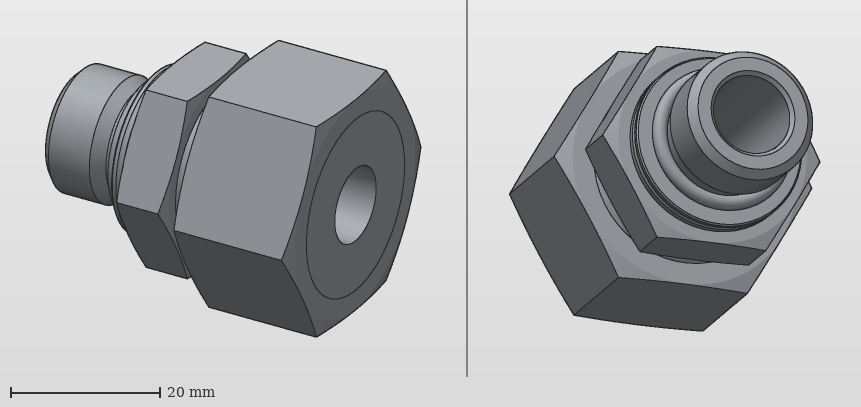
import cadquery as cq
import math

TOTAL_LENGTH = 43.5

BORE_RADIUS = 5.5
BORE_CHAMFER = 0.52
THREAD_RADIUS = 9.0
NECK_RADIUS = 7.87
TIP_CHAMFER = THREAD_RADIUS - NECK_RADIUS
THREAD_END = 7.5
NECK_START = 9.4

COLLAR_START = 12.5
COLLAR_RADIUS = 11.88
COLLAR_CHAMFER = 0.2
GROOVE_START = 13.25
GROOVE_WIDTH = 0.85
GROOVE_DEPTH = 0.17

RING_OUTER_RADIUS = 9.95
RING_SECTION_RADIUS = 1.0
RING_CENTRE_RADIUS = RING_OUTER_RADIUS - RING_SECTION_RADIUS
RING_CENTRE_X = COLLAR_START - RING_SECTION_RADIUS

HEX_START = 15.0
HEX_LENGTH = 7.53
HEX_FLATS = 27.0
HEX_END = HEX_START + HEX_LENGTH

NUT_LENGTH = 18.0
NUT_FLATS = 32.0
NUT_START = TOTAL_LENGTH - NUT_LENGTH
NUT_THREAD_RADIUS = 13.0
NUT_THREAD_CHAMFER_START = 25.1

HEX_CHAMFER_ANGLE = 15.0
HEX_HALF_ANGLE = 180 / 6


def revolve_about_x(profile):
    """Turn a closed (x, radius) profile in the XY plane about the X axis."""
    return profile.close().revolve(360, (0, 0, 0), (1, 0, 0))


def cylinder(start, length, radius):
    """Solid cylinder along X."""
    return cq.Workplane("YZ", origin=(start, 0, 0)).circle(radius).extrude(length)


def chamfered_hexagon(start, length, flats):
    """Hexagonal prism along X, corners on +/-Y, with conical chamfers at both ends."""
    flat_radius = flats / 2
    corner_radius = flat_radius / math.cos(math.radians(HEX_HALF_ANGLE))
    chamfer_depth = (corner_radius - flat_radius) * math.tan(math.radians(HEX_CHAMFER_ANGLE))
    end = start + length
    prism = cq.Workplane("YZ", origin=(start, 0, 0)).polygon(6, 2 * corner_radius).extrude(length)
    envelope = revolve_about_x(
        cq.Workplane("XY")
        .moveTo(start, 0)
        .lineTo(start, flat_radius)
        .lineTo(start + chamfer_depth, corner_radius)
        .lineTo(end - chamfer_depth, corner_radius)
        .lineTo(end, flat_radius)
        .lineTo(end, 0)
    )
    return prism.intersect(envelope)


def make_stud():
    """Stud with tapered undercut, neck and grooved sealing collar, ending in the hexagon."""
    return revolve_about_x(
        cq.Workplane("XY")
        .moveTo(0, 0)
        .lineTo(0, THREAD_RADIUS - TIP_CHAMFER)
        .lineTo(TIP_CHAMFER, THREAD_RADIUS)
        .lineTo(THREAD_END, THREAD_RADIUS)
        .lineTo(NECK_START, NECK_RADIUS)
        .lineTo(COLLAR_START, NECK_RADIUS)
        .lineTo(COLLAR_START, COLLAR_RADIUS - COLLAR_CHAMFER)
        .lineTo(COLLAR_START + COLLAR_CHAMFER, COLLAR_RADIUS)
        .lineTo(GROOVE_START, COLLAR_RADIUS)
        .threePointArc(
            (GROOVE_START + GROOVE_WIDTH / 2, COLLAR_RADIUS - GROOVE_DEPTH),
            (GROOVE_START + GROOVE_WIDTH, COLLAR_RADIUS),
        )
        .lineTo(HEX_END, COLLAR_RADIUS)
        .lineTo(HEX_END, 0)
    )


def make_nut_end():
    """Relief behind the hexagon, a 45 degree rise and the threaded end inside the nut."""
    rise = NUT_THREAD_RADIUS - COLLAR_RADIUS
    return revolve_about_x(
        cq.Workplane("XY")
        .moveTo(HEX_START, 0)
        .lineTo(HEX_START, COLLAR_RADIUS)
        .lineTo(NUT_THREAD_CHAMFER_START, COLLAR_RADIUS)
        .lineTo(NUT_THREAD_CHAMFER_START + rise, NUT_THREAD_RADIUS)
        .lineTo(TOTAL_LENGTH, NUT_THREAD_RADIUS)
        .lineTo(TOTAL_LENGTH, 0)
    )


def make_bore():
    """Through bore with a chamfered mouth at the stud end."""
    return revolve_about_x(
        cq.Workplane("XY")
        .moveTo(0, 0)
        .lineTo(0, BORE_RADIUS + BORE_CHAMFER)
        .lineTo(BORE_CHAMFER, BORE_RADIUS)
        .lineTo(TOTAL_LENGTH, BORE_RADIUS)
        .lineTo(TOTAL_LENGTH, 0)
    )


def make_fitting_body():
    """Stud, hexagon and threaded end in one piece, bored through."""
    hexagon = chamfered_hexagon(HEX_START, HEX_LENGTH, HEX_FLATS)
    return make_stud().union(hexagon).union(make_nut_end()).cut(make_bore())


def make_o_ring():
    """Torus around the X axis."""
    return (
        cq.Workplane("XY")
        .center(RING_CENTRE_X, RING_CENTRE_RADIUS)
        .circle(RING_SECTION_RADIUS)
        .revolve(360, (0, -RING_CENTRE_RADIUS, 0), (1, -RING_CENTRE_RADIUS, 0))
    )


def make_nut():
    """Hexagon nut with a plain hole that fits the threaded end of the body."""
    hexagon = chamfered_hexagon(NUT_START, NUT_LENGTH, NUT_FLATS)
    return hexagon.cut(cylinder(NUT_START, NUT_LENGTH, NUT_THREAD_RADIUS))


fitting_body = make_fitting_body()
o_ring = make_o_ring()
nut = make_nut()

result = cq.Compound.makeCompound([fitting_body.val(), o_ring.val(), nut.val()])